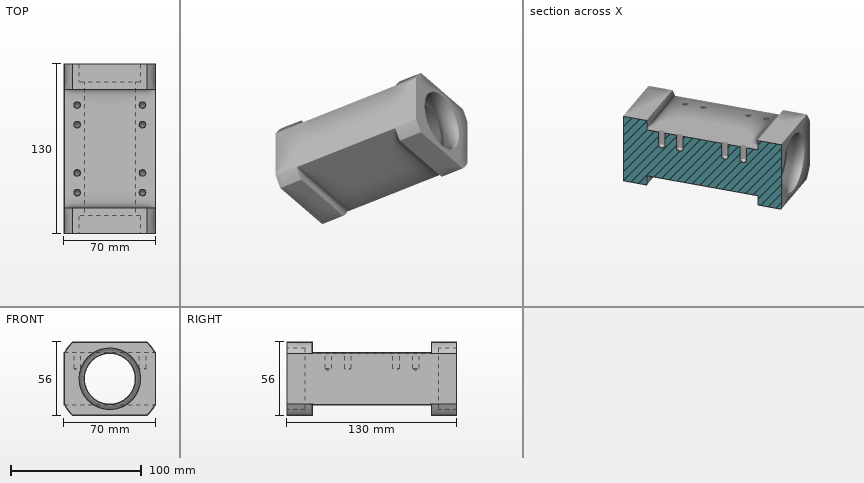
import cadquery as cq
import math

width = 70.0
length = 130.0
height = 56.0

corner_radius = 40.0
turned_length = 20.0

flange_length = 19.5
recess_floor_height = 20.0

bore_diameter = 39.0
counterbore_diameter = 47.0
counterbore_depth = 14.0

hole_diameter = 5.0
hole_depth = 12.0
drill_point_angle = 118.0
hole_spacing_x = 50.0
hole_pair_pitch = 15.0
hole_pair_center_y = 26.0


def y_cylinder(diameter, start_y, span):
    """Cylinder on the bore axis, running from start_y toward +Y."""
    plane = cq.Workplane("XZ", origin=(0, start_y, 0))
    return plane.circle(diameter / 2).extrude(-span)


def make_body():
    """Rectangular block whose two ends are trimmed to the corner radius."""
    block = cq.Workplane("XY").box(width, length, height)
    middle_length = length - 2 * turned_length
    middle = cq.Workplane("XY").box(width, middle_length, height)
    rounded = block.intersect(y_cylinder(2 * corner_radius, -length / 2, length))
    return rounded.union(middle)


def make_recesses():
    """Full-width cutters that lower the top and bottom faces."""
    depth = height / 2 - recess_floor_height
    recess_length = length - 2 * flange_length
    cutter = cq.Workplane("XY").box(width, recess_length, depth)
    offset = recess_floor_height + depth / 2
    upper = cutter.translate((0, 0, offset))
    lower = cutter.translate((0, 0, -offset))
    return upper.union(lower)


def make_bore():
    """Through bore with a counterbore at each end."""
    bore = y_cylinder(bore_diameter, -length / 2, length)
    front = y_cylinder(counterbore_diameter, -length / 2, counterbore_depth)
    back = y_cylinder(counterbore_diameter, length / 2 - counterbore_depth, counterbore_depth)
    return bore.union(front).union(back)


def make_drill():
    """Drilled-hole cutter with a conical point, its mouth at the origin."""
    radius = hole_diameter / 2
    point_length = radius / math.tan(math.radians(drill_point_angle / 2))
    profile = (
        cq.Workplane("XZ")
        .lineTo(radius, 0)
        .lineTo(radius, -hole_depth)
        .lineTo(0, -hole_depth - point_length)
        .close()
    )
    return profile.revolve(360, (0, 0, 0), (0, 1, 0))


def hole_centers():
    """Two holes per corner of the recess floor."""
    centers = []
    for side_x in (-1, 1):
        for side_y in (-1, 1):
            for step in (-0.5, 0.5):
                x = side_x * hole_spacing_x / 2
                y = side_y * hole_pair_center_y + step * hole_pair_pitch
                centers.append((x, y, recess_floor_height))
    return centers


result = make_body().cut(make_recesses()).cut(make_bore())
drill = make_drill()
for center in hole_centers():
    result = result.cut(drill.translate(center))